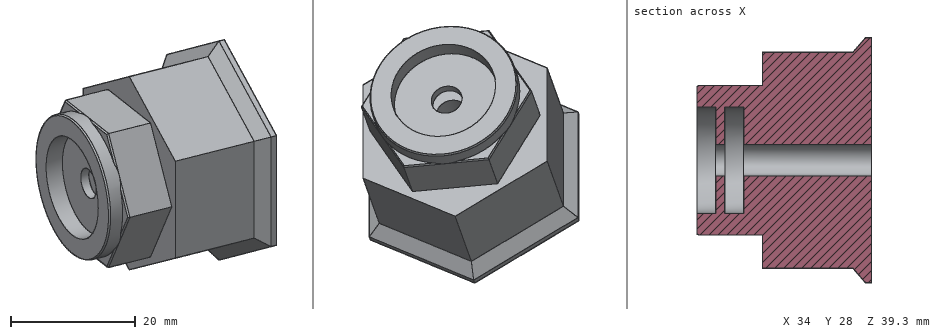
import cadquery as cq
import math

total_length = 28.0
back_y = total_length / 2

flange_rim_end = 1.0
flange_taper_end = 3.0
body_end = 17.5
nut_end = 25.5

flange_across_flats = 34.0
body_across_flats = 30.0
nut_across_flats = 24.0
collar_diameter = nut_across_flats

bevel_length = 0.3
bevel_angle = 30.0

recess_diameter = 17.0
recess_depth = 3.0
web_thickness = 1.5
chamber_diameter = recess_diameter
chamber_depth = recess_depth
bore_diameter = 5.0

corner_on_z = 90.0
corner_on_x = 0.0


def section_plane(station):
    """XZ plane at a distance forward of the back face; extrusion runs toward -Y."""
    return cq.Workplane("XZ", origin=(0, back_y - station, 0))


def hexagon_points(across_flats, first_corner_angle):
    corner_radius = across_flats / 2 / math.cos(math.pi / 6)
    angles = [math.radians(first_corner_angle + 60 * i) for i in range(6)]
    return [(corner_radius * math.cos(a), corner_radius * math.sin(a)) for a in angles]


def hex_prism(across_flats, first_corner_angle, start, end):
    outline = hexagon_points(across_flats, first_corner_angle)
    return section_plane(start).polyline(outline).close().extrude(end - start)


def cylinder(diameter, start, end):
    return section_plane(start).circle(diameter / 2).extrude(end - start)


def make_flange():
    """Hexagonal rim with flat sides tapering down to the body section."""
    rim = hex_prism(flange_across_flats, corner_on_z, 0, flange_rim_end)
    taper = (
        section_plane(flange_rim_end)
        .polyline(hexagon_points(flange_across_flats, corner_on_z))
        .close()
        .workplane(offset=flange_taper_end - flange_rim_end)
        .polyline(hexagon_points(body_across_flats, corner_on_z))
        .close()
        .loft(ruled=True)
    )
    return rim.union(taper)


def make_body():
    return hex_prism(body_across_flats, corner_on_z, flange_taper_end, body_end)


def make_nut():
    """Smaller hexagon, turned 30 degrees from the body, with a bevelled front edge."""
    bevel_start = nut_end - bevel_length
    straight = hex_prism(nut_across_flats, corner_on_x, body_end, bevel_start)
    outline = hexagon_points(nut_across_flats, corner_on_x)
    bevel = section_plane(bevel_start).polyline(outline).close().extrude(bevel_length, taper=bevel_angle)
    return straight.union(bevel)


def make_collar():
    """Round end, as wide as the nut across its flats, with a bevelled front edge."""
    bevel_start = total_length - bevel_length
    straight = cylinder(collar_diameter, body_end, bevel_start)
    bevel = section_plane(bevel_start).circle(collar_diameter / 2).extrude(bevel_length, taper=bevel_angle)
    return straight.union(bevel)


def make_cavities():
    """Front recess and hidden chamber, either side of a thin web, joined by the through bore."""
    web_front = total_length - recess_depth
    chamber_front = web_front - web_thickness
    recess = cylinder(recess_diameter, web_front, total_length)
    chamber = cylinder(chamber_diameter, chamber_front - chamber_depth, chamber_front)
    bore = cylinder(bore_diameter, 0, total_length)
    return recess.union(chamber).union(bore)


outer = make_flange().union(make_body()).union(make_nut()).union(make_collar())

result = outer.cut(make_cavities())